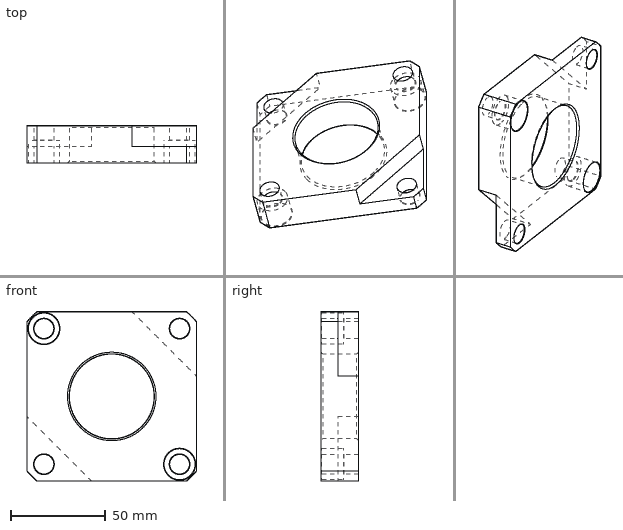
import cadquery as cq

side = 90.0
thickness = 20.0
corner_circle_diameter = 120.0

bore_diameter = 45.0
bore_chamfer = 1.0

bolt_spacing = 72.0
bolt_diameter = 10.5
counterbore_diameter = 16.5
counterbore_depth = 12.0
hole_chamfer = 0.25

step_leg = 34.3
step_depth = 11.0

half_side = side / 2
bolt_offset = bolt_spacing / 2
bolt_depth_behind_counterbore = thickness - counterbore_depth
backward = cq.Vector(0, 1, 0)


def cylinder(x, z, diameter, depth, front=0.0):
    """Round cutter running back along +Y from the plane Y = front."""
    return cq.Workplane(
        cq.Solid.makeCylinder(diameter / 2, depth, cq.Vector(x, front, z), backward)
    )


def chamfered_cutter(x, z, diameter, depth, chamfer, front=0.0):
    """Round cutter with a 45 degree flare at the plane Y = front."""
    flare = cq.Solid.makeCone(
        diameter / 2 + chamfer,
        diameter / 2,
        chamfer,
        cq.Vector(x, front, z),
        backward,
    )
    return cylinder(x, z, diameter, depth, front).union(cq.Workplane(flare))


def corner_step(sign):
    """Triangular cutter at the back of the corner lying towards (sign, sign) in X and Z."""
    corner = sign * half_side
    inner = sign * (half_side - step_leg)
    return (
        cq.Workplane("XZ", origin=(0, thickness, 0))
        .polyline([(corner, corner), (inner, corner), (corner, inner)])
        .close()
        .extrude(step_depth)
    )


def plate_blank():
    """Square plate with its corners rounded to the corner circle."""
    block = cq.Workplane("XY").box(side, thickness, side, centered=(True, False, True))
    return block.intersect(cylinder(0, 0, corner_circle_diameter, thickness))


def bore():
    """Through cutter for the central bore, flared at both faces."""
    from_front = chamfered_cutter(0, 0, bore_diameter, thickness, bore_chamfer)
    return from_front.union(from_front.mirror("XZ", (0, thickness / 2, 0)))


def plain_hole(x, z):
    """Through cutter for a bolt hole, flared at the front face."""
    return chamfered_cutter(x, z, bolt_diameter, thickness, hole_chamfer)


def counterbored_hole(x, z):
    """Through cutter for a counterbored bolt hole, flared at the front face and at the seat."""
    head = chamfered_cutter(x, z, counterbore_diameter, counterbore_depth, hole_chamfer)
    shank = chamfered_cutter(
        x, z, bolt_diameter, bolt_depth_behind_counterbore, hole_chamfer, front=counterbore_depth
    )
    return head.union(shank)


plate = plate_blank().cut(bore())

for sign in (-1, 1):
    offset = sign * bolt_offset
    plate = plate.cut(corner_step(sign))
    plate = plate.cut(plain_hole(offset, offset))
    plate = plate.cut(counterbored_hole(offset, -offset))

result = plate